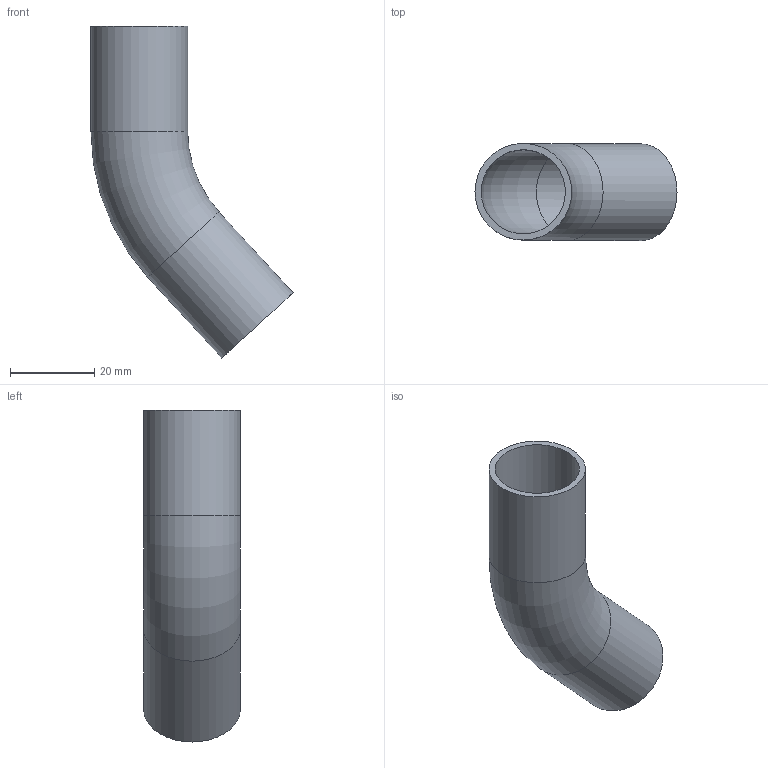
import cadquery as cq
import math

outer_diameter = 23.0
inner_diameter = 20.0
upper_leg_length = 25.0
lower_leg_length = 26.06
bend_radius = 40.0
bend_angle = 42.45


def ring_section(workplane):
    """Annular cross-section of the tube, centred on the given workplane."""
    return workplane.circle(outer_diameter / 2).circle(inner_diameter / 2)


def make_upper_leg():
    """Vertical leg, rising from the start of the bend to the top opening."""
    return ring_section(cq.Workplane("XY")).extrude(upper_leg_length)


def make_bend():
    """Elbow turning from straight down toward +X, about an axis parallel to Y."""
    axis_start = (bend_radius, 0)
    axis_end = (bend_radius, -outer_diameter)
    return ring_section(cq.Workplane("XY")).revolve(bend_angle, axis_start, axis_end)


def make_lower_leg():
    """Slanted leg, continuing tangentially from the end of the bend."""
    angle = math.radians(bend_angle)
    bend_end = (bend_radius * (1 - math.cos(angle)), 0, -bend_radius * math.sin(angle))
    direction = (math.sin(angle), 0, -math.cos(angle))
    end_plane = cq.Plane(origin=bend_end, xDir=(0, 1, 0), normal=direction)
    return ring_section(cq.Workplane(end_plane)).extrude(lower_leg_length)


result = make_upper_leg().union(make_bend()).union(make_lower_leg())